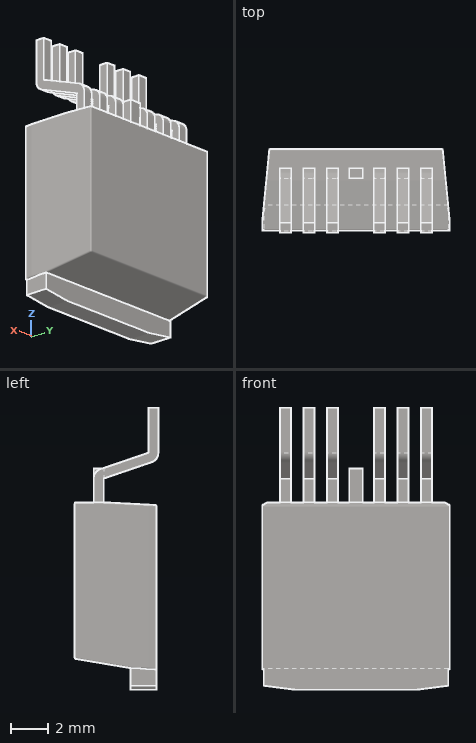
import cadquery as cq
import math


body_width = 10.16
body_back_width = 9.38
body_depth = 4.44
body_top = 10.14
straight_side_depth = 0.445
top_ridge_y = 2.72
front_draft = math.radians(3)
body_back_bottom = 1.68
bottom_ridge_z = 1.17
edge_radius = 0.1

tab_width = 9.98
tab_thickness = 1.42
tab_tip_width = 6.56
tab_corner_z = 0.22
tab_top = bottom_ridge_z

lead_pitch = 1.27
leads_per_side = 3
lead_width = 0.6
lead_thickness = 0.55
lead_top = 15.25
lead_standoff = 0.1
lead_root_back_y = 3.4
lower_bend_z = 11.42
upper_bend_z = 12.82
lead_embed = 1.0
stub_width = 0.75


def extrude_across(profile, width):
    """Extrude a YZ profile symmetrically about X = 0."""
    return profile.extrude(width / 2, both=True)


def make_body():
    """Drafted body: a side profile crossed with a plan that narrows to the back."""
    side = extrude_across(
        cq.Workplane("YZ").polyline([
            (0, body_top - top_ridge_y * math.tan(front_draft)),
            (top_ridge_y, body_top),
            (body_depth, body_top),
            (body_depth, body_back_bottom),
            (tab_thickness, bottom_ridge_z),
            (0, bottom_ridge_z - tab_thickness * math.tan(front_draft)),
        ]).close(),
        body_width,
    )
    plan = (
        cq.Workplane("XY")
        .polyline([
            (-body_width / 2, 0),
            (body_width / 2, 0),
            (body_width / 2, straight_side_depth),
            (body_back_width / 2, body_depth),
            (-body_back_width / 2, body_depth),
            (-body_width / 2, straight_side_depth),
        ])
        .close()
        .extrude(body_top)
    )
    body = side.intersect(plan)
    back_edges = body.faces(">Y").edges()
    front_top_edge = body.faces("<Y").edges(">Z")
    flank_edges = body.edges("not (|X or |Z)")
    return back_edges.add(front_top_edge).add(flank_edges).fillet(edge_radius)


def make_tab():
    """Flat tab flush with the front face, its lower edge running out to a blunt tip."""
    return (
        cq.Workplane("XZ")
        .polyline([
            (-tab_width / 2, tab_top),
            (-tab_width / 2, tab_corner_z),
            (-tab_tip_width / 2, 0),
            (tab_tip_width / 2, 0),
            (tab_width / 2, tab_corner_z),
            (tab_width / 2, tab_top),
        ])
        .close()
        .extrude(-tab_thickness)
    )


def make_lead():
    """Formed lead at X = 0: sharp inside each bend, round outside about the inside corner."""
    root_y = lead_root_back_y - lead_thickness
    foot_front_y = -lead_standoff
    foot_y = foot_front_y + lead_thickness
    root_z = body_top - lead_embed

    run = root_y - foot_y
    rise = upper_bend_z - lower_bend_z
    slope = math.atan2(rise, run) - math.asin(lead_thickness / math.hypot(run, rise))

    def around(corner_y, corner_z, angle):
        return (
            corner_y + lead_thickness * math.cos(angle),
            corner_z + lead_thickness * math.sin(angle),
        )

    lower_normal = math.pi / 2 - slope
    upper_normal = -math.pi / 2 - slope
    profile = (
        cq.Workplane("YZ")
        .moveTo(root_y, root_z)
        .lineTo(lead_root_back_y, root_z)
        .lineTo(lead_root_back_y, lower_bend_z)
        .threePointArc(
            around(root_y, lower_bend_z, lower_normal / 2),
            around(root_y, lower_bend_z, lower_normal),
        )
        .lineTo(foot_y, upper_bend_z)
        .lineTo(foot_y, lead_top)
        .lineTo(foot_front_y, lead_top)
        .lineTo(foot_front_y, upper_bend_z)
        .threePointArc(
            around(foot_y, upper_bend_z, (upper_normal - math.pi) / 2),
            around(foot_y, upper_bend_z, upper_normal),
        )
        .lineTo(root_y, lower_bend_z)
        .close()
    )
    return extrude_across(profile, lead_width)


def make_stub():
    """Cropped centre lead, square-ended level with the outside of the lower bend."""
    root_z = body_top - lead_embed
    height = lower_bend_z + lead_thickness - root_z
    return cq.Workplane("XY").box(
        stub_width, lead_thickness, height, centered=(True, False, False)
    ).translate((0, lead_root_back_y - lead_thickness, root_z))


result = make_body().union(make_tab()).union(make_stub())
lead = make_lead()
for position in range(1, leads_per_side + 1):
    for side in (-1, 1):
        result = result.union(lead.translate((side * position * lead_pitch, 0, 0)))